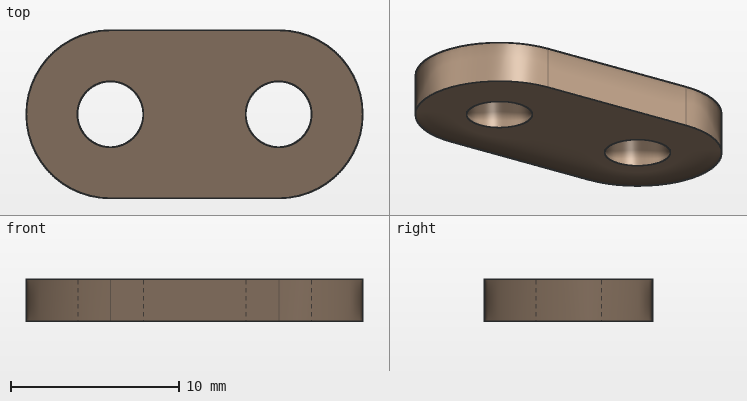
import cadquery as cq

length = 20.0
width = 10.0
thickness = 2.5
hole_diameter = 3.9

hole_spacing = length - width

plate = cq.Workplane("XY").slot2D(length, width).extrude(thickness)

result = (
    plate.faces(">Z")
    .workplane()
    .rarray(hole_spacing, 0.2, 2, 1)
    .hole(hole_diameter)
)